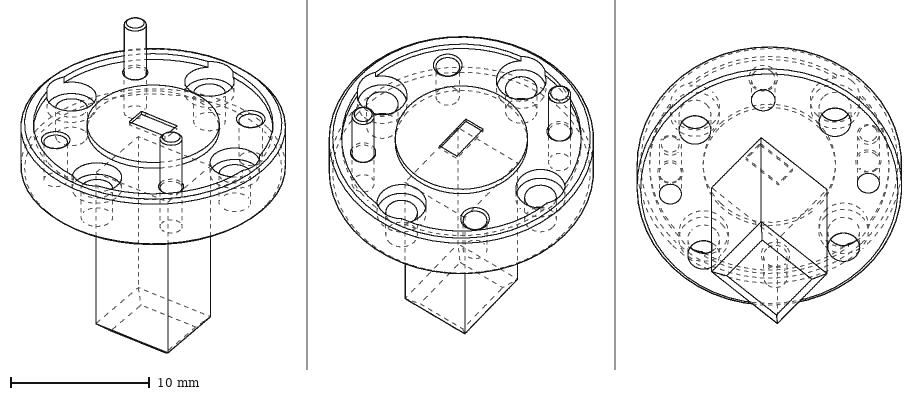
import cadquery as cq
import math

overall_height = 22.1
stem_length = 14.17
flange_diameter = 19.05
flange_thickness = 4.05
flange_chamfer = 0.27
flange_top = flange_thickness
pin_top = overall_height - stem_length

stem_width_x = 6.32
stem_width_y = 5.4
stem_chamfer = 0.77

recess_diameter = 17.24
boss_diameter = 9.53
recess_depth = 0.5
recess_floor = flange_top - recess_depth

window_length = 3.12
window_width = 1.55
window_depth = 0.27

bolt_circle_radius = 7.14
screw_hole_diameter = 2.28
counterbore_diameter = 3.55
counterbore_depth = 1.02
counterbore_floor = recess_floor - counterbore_depth
screw_angles = [0, 90, 180, 270]

dowel_hole_diameter = 1.7
dowel_mouth_diameter = 2.05
dowel_angles = [45, 225]
pin_diameter = 1.6
pin_mouth_diameter = 1.81
pin_chamfer = 0.15
pin_angles = [135, 315]


def on_bolt_circle(angle):
    """Point on the bolt circle at an angle in degrees from +X."""
    radians = math.radians(angle)
    return (bolt_circle_radius * math.cos(radians), bolt_circle_radius * math.sin(radians))


def cylinder(diameter, bottom, top, center=(0, 0)):
    """Upright cylinder between two heights."""
    return cq.Workplane("XY", origin=(*center, bottom)).circle(diameter / 2).extrude(top - bottom)


def flange_disc():
    return cylinder(flange_diameter, 0, flange_top).edges().chamfer(flange_chamfer)


def stem():
    block = cq.Workplane("XY").rect(stem_width_x, stem_width_y).extrude(-stem_length)
    return block.faces("<Z").chamfer(stem_chamfer)


def ring_recess():
    outer = cylinder(recess_diameter, recess_floor, flange_top)
    return outer.cut(cylinder(boss_diameter, recess_floor, flange_top))


def window():
    top_plane = cq.Workplane("XY", origin=(0, 0, flange_top))
    return top_plane.rect(window_length, window_width).extrude(-window_depth)


def screw_hole(angle):
    center = on_bolt_circle(angle)
    bore = cylinder(screw_hole_diameter, 0, flange_top, center)
    return bore.union(cylinder(counterbore_diameter, counterbore_floor, flange_top, center))


def countersunk_hole(angle, diameter, mouth_diameter):
    """Through hole with a 45 degree countersink at the recess floor."""
    center = on_bolt_circle(angle)
    countersink_depth = (mouth_diameter - diameter) / 2
    bore = cylinder(diameter, 0, recess_floor, center)
    cone = cq.Solid.makeCone(
        diameter / 2,
        mouth_diameter / 2,
        countersink_depth,
        pnt=cq.Vector(*center, recess_floor - countersink_depth),
    )
    return bore.union(cq.Workplane(cone))


def make_flange():
    body = flange_disc().union(stem()).cut(ring_recess()).cut(window())
    for angle in screw_angles:
        body = body.cut(screw_hole(angle))
    for angle in dowel_angles:
        body = body.cut(countersunk_hole(angle, dowel_hole_diameter, dowel_mouth_diameter))
    for angle in pin_angles:
        body = body.cut(countersunk_hole(angle, pin_diameter, pin_mouth_diameter))
    return body


def make_pin(angle):
    """Dowel pin, flush with the underside of the flange and chamfered at its tip."""
    pin = cylinder(pin_diameter, 0, pin_top, on_bolt_circle(angle))
    return pin.faces(">Z").edges().chamfer(pin_chamfer)


flange = make_flange()
pins = [make_pin(angle) for angle in pin_angles]

result = cq.Compound.makeCompound([flange.val(), *[pin.val() for pin in pins]])